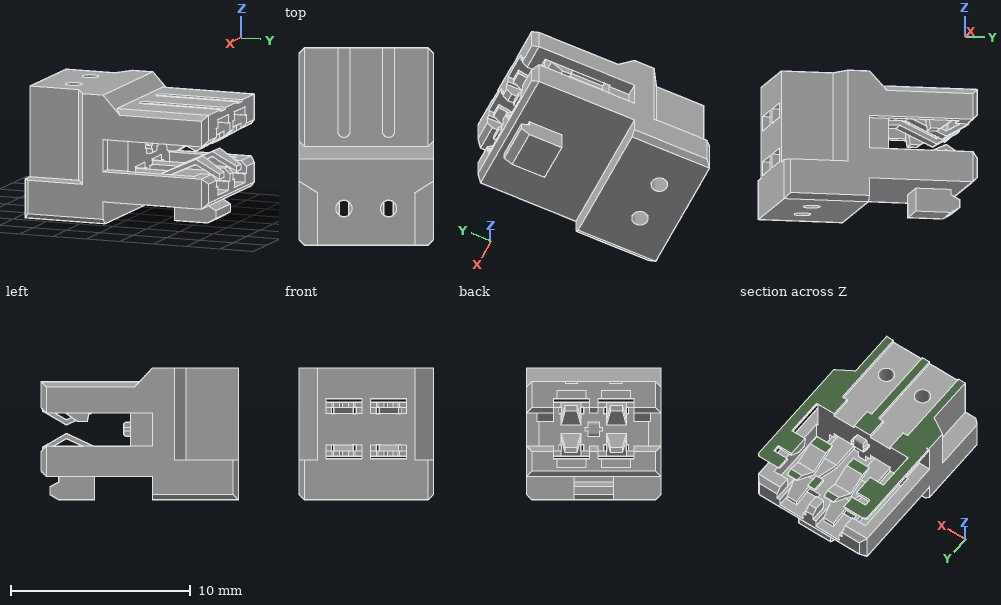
import cadquery as cq
import math

width = 7.5
length = 11.0
height = 7.35
edge_chamfer = 0.31

body_length = 4.8
upper_arm_top = 6.59
upper_arm_bottom = 4.83
lower_arm_top = 3.0
lower_arm_bottom = 1.3
slope_length = 0.72
rib_front = 6.03
rib_width = 6.12

cutback_width = 1.03
cutback_bottom = 2.21
cutback_inner_y = 2.93
cutback_outer_y = 3.58

mid_z = 3.94
column_spacing = 2.49
column_x = [-column_spacing / 2, column_spacing / 2]
slot_width = 1.99
slot_inner_offset = 0.87
lower_slot_height = 0.77
upper_slot_height = 0.81
throat_width = 1.36

pocket_width = 6.29
pocket_end = 10.02
side_channel_floor = 1.87
channel_width = (pocket_width - slot_width) / 2 - column_spacing / 2
channel_x = (pocket_width - channel_width) / 2
spring_relief_width = 1.61
spring_relief_start = 9.39
spring_relief_depth = 0.48

contact_thickness = 0.3
contact_bottom = 2.43
contact_top = contact_bottom + contact_thickness
contact_start = 0.88
plate_end = 5.5
spring_start = 7.48
prong_taper_width = 0.32
prong_taper_length = 0.66
mouth_flare = 0.26
point_bevel = 0.1
fork_gap = 0.52
fork_end = 3.3
fork_flat = 0.07
spring_width = 1.1
spring_tip_width = 0.66
spring_outward_shift = 0.02
spring_apex_y = 9.58
spring_apex_z = 3.71
spring_tip_y = 10.92
spring_tip_z = 2.93

hole_diameter = 0.9
hole_y = 2.05
groove_width = 0.68
groove_end = 6.01
groove_depth = 0.1

latch_width = 2.2
latch_back = 8.01
latch_front = 10.01
latch_nose = 10.5
latch_nose_bottom = 0.3
latch_nose_top = 0.74
latch_neck = 1.0

lug_root_front = 9.62
lug_tip_front = 8.94
lug_tip_back = 8.42
lug_root_back = 8.33
lug_bottom = 4.36

key_width = 0.66
key_height = 0.79
key_length = 0.37
key_radius = 0.16
key_fin_width = 0.99
key_fin_height = 0.19


def centred_box(x, x_size, y0, y1, z0, z1):
    """Box centred on x that spans y0 to y1 and z0 to z1."""
    corner = (x - x_size / 2, y0, z0)
    return cq.Workplane("XY").box(x_size, y1 - y0, z1 - z0, centered=False).translate(corner)


def side_profile(points, x, x_size):
    """Extrude a (Y, Z) outline along X, centred on x."""
    profile = cq.Workplane("YZ", origin=(x - x_size / 2, 0, 0))
    return profile.polyline(points).close().extrude(x_size)


def mirrored_row(shape):
    """Copy a lower-row shape to the upper row."""
    return shape.mirror("XY", (0, 0, mid_z))


def corner_wedge(side, y, inward):
    """Upright wedge that chamfers an outer corner; inward is the Y direction into the part."""
    x = side * width / 2
    outline = [(x, y), (x - side * edge_chamfer, y), (x, y + inward * edge_chamfer)]
    return cq.Workplane("XY").polyline(outline).close().extrude(height)


def make_body():
    """Rear block with chamfered base and cut-back corners."""
    body = centred_box(0, width, 0, body_length, 0, height)
    body = body.edges("|Y and <Z").chamfer(edge_chamfer)
    for side in (-1, 1):
        body = body.cut(corner_wedge(side, 0, 1))
        outer = side * width / 2
        inner = side * (width / 2 - cutback_width)
        outline = [(outer, 0), (inner, 0), (inner, cutback_inner_y), (outer, cutback_outer_y)]
        cutback = cq.Workplane("XY", origin=(0, 0, cutback_bottom)).polyline(outline).close()
        body = body.cut(cutback.extrude(height))
    return body


def make_upper_arm():
    """Upper arm with chamfered edges, the slope up to the body and two wire grooves."""
    arm = centred_box(0, width, body_length, length, upper_arm_bottom, upper_arm_top)
    arm = arm.edges("|Y and >Z").chamfer(edge_chamfer)
    arm = arm.edges("|X and >Y and <Z").chamfer(edge_chamfer)
    rise = height - upper_arm_top
    shoulder_drop = rise + edge_chamfer
    shoulder_end = body_length + slope_length * shoulder_drop / rise
    shoulder = [
        (body_length, height),
        (shoulder_end, height - shoulder_drop),
        (body_length, height - shoulder_drop),
    ]
    arm = arm.union(side_profile(shoulder, 0, width))
    for side in (-1, 1):
        arm = arm.cut(corner_wedge(side, length, -1))
    for x in column_x:
        end_centre = groove_end + groove_width / 2
        floor = upper_arm_top - groove_depth
        groove = centred_box(x, groove_width, end_centre, length, floor, upper_arm_top)
        round_end = cq.Workplane("XY", origin=(x, end_centre, floor)).circle(groove_width / 2)
        arm = arm.cut(groove).cut(round_end.extrude(groove_depth))
    return arm


def make_lower_arm():
    """Lower arm with chamfered tip and the latch under it."""
    arm = centred_box(0, width, body_length, length, lower_arm_bottom, lower_arm_top)
    arm = arm.edges("|X and >Y").chamfer(edge_chamfer)
    for side in (-1, 1):
        arm = arm.cut(corner_wedge(side, length, -1))
    latch = [
        (latch_back, lower_arm_bottom),
        (latch_back, 0),
        (latch_front, 0),
        (latch_nose, latch_nose_bottom),
        (latch_nose, latch_nose_top),
        (latch_front, latch_neck),
        (latch_front, lower_arm_bottom),
    ]
    return arm.union(side_profile(latch, 0, latch_width))


def make_rib():
    """Rib filling the back of the gap between the arms."""
    return centred_box(0, rib_width, body_length, rib_front, lower_arm_top, upper_arm_bottom)


def make_key():
    """Cross-shaped key standing on the face of the rib."""
    key_end = rib_front + key_length
    half = key_height / 2
    key = centred_box(0, key_width, rib_front, key_end, mid_z - half, mid_z + half)
    key = key.edges("|X and >Y").fillet(key_radius)
    fin_half = key_fin_height / 2
    fin = centred_box(0, key_fin_width, rib_front, key_end, mid_z - fin_half, mid_z + fin_half)
    return key.union(fin)


def make_row_cavity(slot_height):
    """Slots and arm pocket of the lower row; the pocket is open up to mid_z."""
    slot_top = mid_z - slot_inner_offset
    floor = slot_top - slot_height
    cavity = centred_box(0, pocket_width, rib_front, pocket_end, floor, mid_z)
    for side in (-1, 1):
        channel = centred_box(
            side * channel_x, channel_width, rib_front, pocket_end, side_channel_floor, mid_z
        )
        cavity = cavity.union(channel)
    for x in column_x:
        entry = centred_box(x, slot_width, 0, body_length, floor, slot_top)
        contact_seat = centred_box(x, slot_width, 0, length, floor, contact_top)
        throat = centred_box(x, throat_width, 0, rib_front, floor, slot_top)
        tip_window = centred_box(x, slot_width, rib_front, length, floor, mid_z)
        relief_floor = floor - spring_relief_depth
        relief = centred_box(
            x, spring_relief_width, spring_relief_start, length, relief_floor, mid_z
        )
        for part in (entry, contact_seat, throat, tip_window, relief):
            cavity = cavity.union(part)
    return cavity


def make_contact(x):
    """Lower-row contact: forked plate across the slot with a bent spring at its end."""
    half = slot_width / 2
    gap = fork_gap / 2
    prong_start = contact_start + prong_taper_length
    shoulder = contact_start + point_bevel
    fork_radius = gap - fork_flat
    round_start = fork_end - fork_radius
    diagonal = fork_radius / math.sqrt(2)
    plate = (
        cq.Workplane("XY", origin=(x, 0, contact_bottom))
        .moveTo(-half + prong_taper_width, contact_start)
        .lineTo(-half + prong_taper_width + point_bevel, shoulder)
        .lineTo(-gap, shoulder)
        .lineTo(-gap, round_start)
        .lineTo(-fork_flat, fork_end)
        .lineTo(fork_flat, fork_end)
        .threePointArc((fork_flat + diagonal, round_start + diagonal), (gap, round_start))
        .lineTo(gap, prong_start)
        .lineTo(gap + mouth_flare, contact_start)
        .lineTo(gap + mouth_flare + point_bevel, shoulder)
        .lineTo(half, shoulder)
        .lineTo(half, plate_end)
        .lineTo(-half, plate_end)
        .lineTo(-half, prong_start)
        .close()
        .extrude(contact_thickness)
    )
    strip = [
        (plate_end, contact_bottom),
        (plate_end, contact_top),
        (spring_start, contact_top),
        (spring_apex_y, spring_apex_z),
        (spring_tip_y, spring_tip_z),
        (spring_tip_y, spring_tip_z - contact_thickness),
        (spring_apex_y, spring_apex_z - contact_thickness),
        (spring_start, contact_bottom),
    ]
    spring_x = x + math.copysign(spring_outward_shift, x)
    half_strip = spring_width / 2
    half_tip = spring_tip_width / 2
    plan = [
        (-half_strip, plate_end),
        (half_strip, plate_end),
        (half_strip, spring_apex_y),
        (half_tip, spring_tip_y),
        (-half_tip, spring_tip_y),
        (-half_strip, spring_apex_y),
    ]
    footprint = cq.Workplane("XY", origin=(spring_x, 0, 0)).polyline(plan).close().extrude(height)
    spring = side_profile(strip, spring_x, spring_width).intersect(footprint)
    return plate.union(spring)


def make_lug(side):
    """Tapered stop lug hanging from the roof of an outer channel in the upper arm."""
    channel_roof = 2 * mid_z - side_channel_floor
    outline = [
        (lug_root_back, channel_roof),
        (lug_root_back, upper_arm_bottom),
        (lug_tip_back, lug_bottom),
        (lug_tip_front, lug_bottom),
        (lug_root_front, upper_arm_bottom),
        (lug_root_front, channel_roof),
    ]
    return side_profile(outline, side * channel_x, channel_width)


housing = make_body()
for piece in (make_upper_arm(), make_lower_arm(), make_rib()):
    housing = housing.union(piece)

housing = housing.cut(make_row_cavity(lower_slot_height))
housing = housing.cut(mirrored_row(make_row_cavity(upper_slot_height)))
for x in column_x:
    test_hole = cq.Workplane("XY", origin=(x, hole_y, 0)).circle(hole_diameter / 2)
    housing = housing.cut(test_hole.extrude(height))

housing = housing.union(make_key())
for side in (-1, 1):
    housing = housing.union(make_lug(side))
for x in column_x:
    contact = make_contact(x)
    housing = housing.union(contact).union(mirrored_row(contact))

result = housing